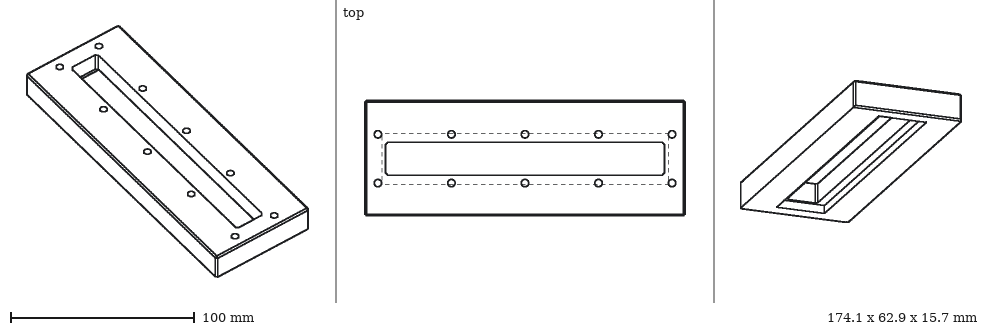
import cadquery as cq

LENGTH = 174.09
WIDTH = 62.91
HEIGHT = 15.67
EDGE_CHAMFER = 1.0

PATTERN_CENTRE_Y = -0.35

WINDOW_LENGTH = 151.6
WINDOW_WIDTH = 17.8
WINDOW_CORNER_CHAMFER = 1.2

RECESS_DEPTH = 4.6
RECESS_END_LEDGE = 2.0
RECESS_SIDE_LEDGE = 5.0
RECESS_LENGTH = WINDOW_LENGTH + 2 * RECESS_END_LEDGE
RECESS_WIDTH = WINDOW_WIDTH + 2 * RECESS_SIDE_LEDGE

HOLE_DIAMETER = 4.0
HOLE_DEPTH = 8.0
HOLES_PER_ROW = 5
HOLE_PITCH = 40.0
ROW_COUNT = 2
ROW_SPACING = 26.5


def make_plate():
    """Block on Z = 0, chamfered on its upright edges, top rim and -X bottom edge."""
    block = cq.Workplane("XY").box(LENGTH, WIDTH, HEIGHT, centered=(True, True, False))
    return block.edges("|Z or >Z or (<X and <Z)").chamfer(EDGE_CHAMFER)


def make_window():
    """Full-height rectangular prism with bevelled corners."""
    prism = cq.Workplane("XY").rect(WINDOW_LENGTH, WINDOW_WIDTH).extrude(HEIGHT)
    return prism.edges("|Z").chamfer(WINDOW_CORNER_CHAMFER)


def make_recess():
    """Shallow block that leaves a ledge all round the window underneath."""
    return cq.Workplane("XY").rect(RECESS_LENGTH, RECESS_WIDTH).extrude(RECESS_DEPTH)


def make_screw_holes():
    """Grid of flat-bottomed cylinders reaching down from the top face."""
    top_plane = cq.Workplane("XY").workplane(offset=HEIGHT)
    centres = top_plane.rarray(HOLE_PITCH, ROW_SPACING, HOLES_PER_ROW, ROW_COUNT)
    return centres.circle(HOLE_DIAMETER / 2).extrude(-HOLE_DEPTH)


result = make_plate()
for cutter in (make_window(), make_recess(), make_screw_holes()):
    result = result.cut(cutter.translate((0, PATTERN_CENTRE_Y, 0)))